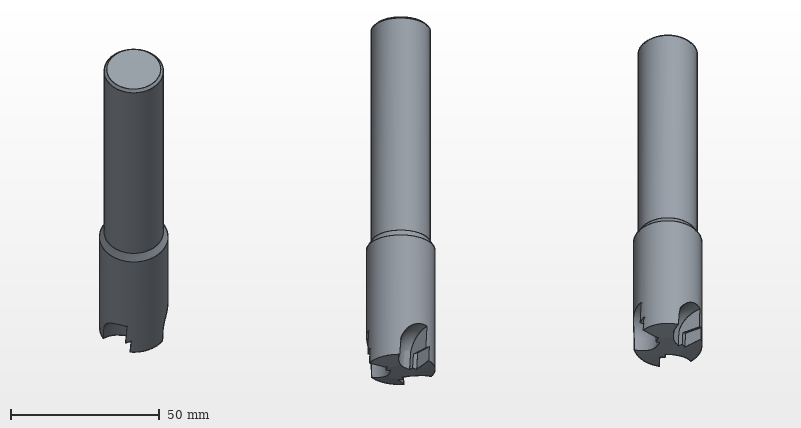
import cadquery as cq

total_length = 128.9
head_radius = 11.54
shank_radius = 9.99
head_top = 45.9
shoulder_top = 48.5
shank_chamfer = 0.9
end_flat_radius = 5.2
end_cone_height = 1.2

flute_count = 3
pocket_tilt = 4.0
ball_radius = 8.4
ball_center_x = -11.9
ball_center_y = 0.3
ball_center_z = 5.4
pocket_floor_x = -3.6
rake_face_y = -0.8

seat_floor_x = -5.2
seat_back_y = -2.6
seat_front_height = 5.4
seat_back_height = 6.7

clearance = 12.9


def box_between(low, high):
    """Box spanning two opposite corners."""
    size = [b - a for a, b in zip(low, high)]
    return cq.Workplane("XY").box(*size, centered=False).translate(low)


def make_body():
    """Shank, conical shoulder and head with a shallow conical end."""
    return (
        cq.Workplane("XZ")
        .moveTo(0, 0)
        .lineTo(end_flat_radius, 0)
        .lineTo(head_radius, end_cone_height)
        .lineTo(head_radius, head_top)
        .lineTo(shank_radius, shoulder_top)
        .lineTo(shank_radius, total_length - shank_chamfer)
        .lineTo(shank_radius - shank_chamfer, total_length)
        .lineTo(0, total_length)
        .close()
        .revolve(360, (0, 0, 0), (0, 1, 0))
    )


def make_flute_cutter():
    """Round-ended chip pocket together with its insert seat."""
    outer_x = -head_radius - clearance
    ball = cq.Workplane("XY").sphere(ball_radius)
    stem = cq.Workplane("XY").circle(ball_radius).extrude(-ball_center_z - clearance)
    ball_end = ball.union(stem).translate((ball_center_x, ball_center_y, ball_center_z))
    pocket_limits = box_between(
        (outer_x, rake_face_y, -clearance),
        (pocket_floor_x, head_radius + clearance, head_top),
    )
    pocket = ball_end.intersect(pocket_limits)
    seat = (
        cq.Workplane("YZ")
        .moveTo(rake_face_y, -clearance)
        .lineTo(rake_face_y, seat_front_height)
        .lineTo(seat_back_y, seat_back_height)
        .lineTo(seat_back_y, -clearance)
        .close()
        .extrude(outer_x - seat_floor_x)
        .translate((seat_floor_x, 0, 0))
    )
    return pocket.union(seat).rotate((0, 0, 0), (1, 0, 0), pocket_tilt)


result = make_body()
flute_cutter = make_flute_cutter()
for index in range(flute_count):
    angle = index * 360 / flute_count
    result = result.cut(flute_cutter.rotate((0, 0, 0), (0, 0, 1), angle))